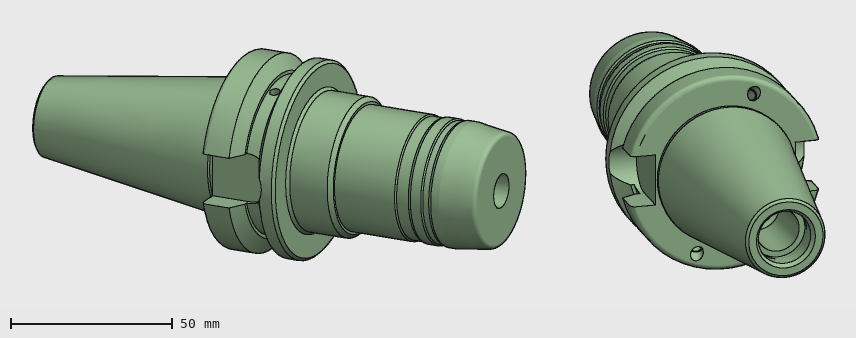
import cadquery as cq
import math

TOTAL_LENGTH = 155.4
TAPER_END = 65.1
RELIEF_START = 65.7
FLANGE_START = 67.0
GRIP_WALL_LEFT = 79.4
GRIP_WALL_RIGHT = 84.4
FLANGE_END = 92.5
SHOULDER_END = 107.7
NOSE_START = 143.7

FLANGE_RADIUS = 63.0 / 2
TAPER_RADIUS = 44.5 / 2
RELIEF_RADIUS = 44.0 / 2
SHOULDER_RADIUS = 44.5 / 2
BODY_RADIUS = 40.0 / 2
RING_GROOVE_RADIUS = 39.0 / 2
GRIP_FLOOR_RADIUS = 25.3
GRIP_LIP_RADIUS = 26.4
GRIP_FLANK_ANGLE = 30.0
NOSE_DROP = 1.7
TAPER_RATIO = 7 / 24

TAPER_CHAMFER = 0.8
FLANGE_FILLET = 1.5
RIM_CHAMFER = 1.0
SHOULDER_ROOT = 1.0
SHOULDER_CHAMFER = 1.4
NOSE_FILLET = 1.4

RING_GROOVES = [(128.4, 133.8), (137.4, 140.8)]
RING_LEFT_RUN = 0.5
RING_RIGHT_RUN = 1.0

MOUTH_RADIUS = 9.5
MOUTH_CHAMFER_DEPTH = 1.5
ENTRY_RADIUS = 17.0 / 2
ENTRY_DEPTH = 6.0
RELIEF_BORE_RADIUS = 17.5 / 2
RELIEF_BORE_START = 7.1
RELIEF_BORE_DEPTH = 9.2
THREAD_RADIUS = 13.8 / 2
THREAD_DEPTH = 31.1
THROUGH_RADIUS = 10.9 / 2
DRILL_POINT_ANGLE = 118.0

SLOT_WIDTH = 16.3
SLOT_END = 88.1
SLOT_FLOOR = 22.5

COOLANT_ANGLE = 20.0
COOLANT_TILT = 30.0
COOLANT_FACE_RADIUS = 26.9
COOLANT_DIAMETER = 3.3
COOLANT_MOUTH_DIAMETER = 4.0
COOLANT_MOUTH_DEPTH = 2.6
RADIAL_HOLE_X = 81.7


def revolve_about_x(outline):
    """Revolve a closed outline of (x, radius) about the X axis."""
    return outline.close().revolve(360, (0, 0, 0), (1, 0, 0))


def make_body():
    taper_tip_radius = TAPER_RADIUS - TAPER_END * TAPER_RATIO / 2
    taper_chamfer_radius = taper_tip_radius + TAPER_CHAMFER * TAPER_RATIO / 2
    flank_slope = math.tan(math.radians(GRIP_FLANK_ANGLE))
    flank_run = (FLANGE_RADIUS - GRIP_LIP_RADIUS) * flank_slope
    outline = (
        cq.Workplane("XY")
        .lineTo(0, taper_tip_radius - TAPER_CHAMFER)
        .lineTo(TAPER_CHAMFER, taper_chamfer_radius)
        .lineTo(TAPER_END, TAPER_RADIUS)
        .lineTo(RELIEF_START, RELIEF_RADIUS)
        .lineTo(FLANGE_START, RELIEF_RADIUS)
        .lineTo(FLANGE_START, FLANGE_RADIUS - FLANGE_FILLET)
        .radiusArc((FLANGE_START + FLANGE_FILLET, FLANGE_RADIUS), FLANGE_FILLET)
        .lineTo(GRIP_WALL_LEFT - flank_run, FLANGE_RADIUS)
        .lineTo(GRIP_WALL_LEFT, GRIP_LIP_RADIUS)
        .lineTo(GRIP_WALL_LEFT, GRIP_FLOOR_RADIUS)
        .lineTo(GRIP_WALL_RIGHT, GRIP_FLOOR_RADIUS)
        .lineTo(GRIP_WALL_RIGHT, GRIP_LIP_RADIUS)
        .lineTo(GRIP_WALL_RIGHT + flank_run, FLANGE_RADIUS)
        .lineTo(FLANGE_END - RIM_CHAMFER, FLANGE_RADIUS)
        .lineTo(FLANGE_END, FLANGE_RADIUS - RIM_CHAMFER)
        .lineTo(FLANGE_END, SHOULDER_RADIUS + SHOULDER_ROOT)
        .lineTo(FLANGE_END + SHOULDER_ROOT, SHOULDER_RADIUS)
        .lineTo(SHOULDER_END - SHOULDER_CHAMFER, SHOULDER_RADIUS)
        .lineTo(SHOULDER_END, SHOULDER_RADIUS - SHOULDER_CHAMFER)
        .lineTo(SHOULDER_END, BODY_RADIUS)
    )
    for start, end in RING_GROOVES:
        outline = (
            outline.lineTo(start, BODY_RADIUS)
            .lineTo(start + RING_LEFT_RUN, RING_GROOVE_RADIUS)
            .lineTo(end - RING_RIGHT_RUN, RING_GROOVE_RADIUS)
            .lineTo(end, BODY_RADIUS)
        )
    outline = (
        outline.lineTo(NOSE_START, BODY_RADIUS)
        .lineTo(TOTAL_LENGTH, BODY_RADIUS - NOSE_DROP)
        .lineTo(TOTAL_LENGTH, 0)
    )
    return revolve_about_x(outline).faces(">X").edges().fillet(NOSE_FILLET)


def make_bore():
    drill_point_run = (THREAD_RADIUS - THROUGH_RADIUS) / math.tan(math.radians(DRILL_POINT_ANGLE / 2))
    outline = (
        cq.Workplane("XY")
        .lineTo(0, MOUTH_RADIUS)
        .lineTo(MOUTH_CHAMFER_DEPTH, ENTRY_RADIUS)
        .lineTo(ENTRY_DEPTH, ENTRY_RADIUS)
        .lineTo(RELIEF_BORE_START, RELIEF_BORE_RADIUS)
        .lineTo(RELIEF_BORE_DEPTH, RELIEF_BORE_RADIUS)
        .lineTo(RELIEF_BORE_DEPTH, THREAD_RADIUS)
        .lineTo(THREAD_DEPTH, THREAD_RADIUS)
        .lineTo(THREAD_DEPTH + drill_point_run, THROUGH_RADIUS)
        .lineTo(TOTAL_LENGTH, THROUGH_RADIUS)
        .lineTo(TOTAL_LENGTH, 0)
    )
    return revolve_about_x(outline)


def make_drive_slot():
    """Cutter for the -Y slot: open at the flange face, round at its far end."""
    half_width = SLOT_WIDTH / 2
    return (
        cq.Workplane("XZ", origin=(0, -SLOT_FLOOR, 0))
        .moveTo(FLANGE_START, -half_width)
        .lineTo(SLOT_END - half_width, -half_width)
        .threePointArc((SLOT_END, 0), (SLOT_END - half_width, half_width))
        .lineTo(FLANGE_START, half_width)
        .close()
        .extrude(FLANGE_RADIUS)
    )


def make_coolant_holes():
    """Cutter for the upper pair of holes, turned about X to its place on the flange."""
    tilt = math.radians(COOLANT_TILT)
    direction = cq.Vector(math.cos(tilt), 0, -math.sin(tilt))
    mouth = cq.Vector(FLANGE_START, 0, COOLANT_FACE_RADIUS)
    entry = mouth - direction * COOLANT_MOUTH_DIAMETER
    mouth_length = COOLANT_MOUTH_DIAMETER + COOLANT_MOUTH_DEPTH
    sloping_length = (RADIAL_HOLE_X - FLANGE_START) / math.cos(tilt)
    meeting = mouth + direction * sloping_length

    counterbore = cq.Solid.makeCylinder(COOLANT_MOUTH_DIAMETER / 2, mouth_length, entry, direction)
    sloping = cq.Solid.makeCylinder(COOLANT_DIAMETER / 2, sloping_length, mouth, direction)
    radial = cq.Solid.makeCylinder(
        COOLANT_DIAMETER / 2, FLANGE_RADIUS - meeting.z, meeting, cq.Vector(0, 0, 1)
    )
    holes = cq.Workplane(counterbore).union(cq.Workplane(sloping)).union(cq.Workplane(radial))
    return holes.rotate((0, 0, 0), (1, 0, 0), COOLANT_ANGLE)


result = make_body().cut(make_bore())
for half_turn in (0, 180):
    for cutter in (make_drive_slot(), make_coolant_holes()):
        result = result.cut(cutter.rotate((0, 0, 0), (1, 0, 0), half_turn))